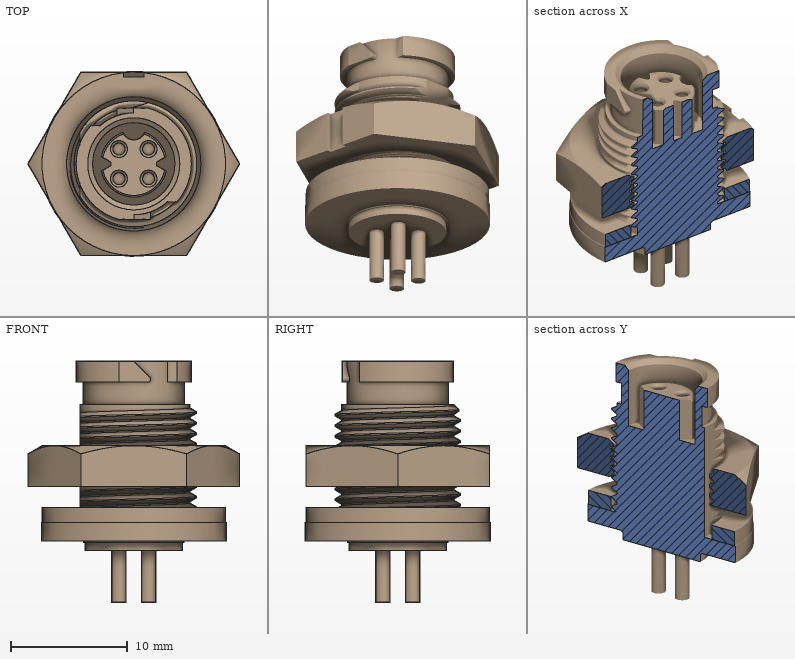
import cadquery as cq
import math


OVERLAP = 0.05

pin_tip_z = -6.86
base_bottom_z = -2.42
flange_thickness = 1.6
gasket_thickness = 1.3
nut_bottom_z = 3.07
nut_height = 3.52
shoulder_z = 10.14
collar_height = 1.8
top_z = 13.84
collar_bottom_z = top_z - collar_height

flange_radius = 7.94
base_radius = 4.19
base_step_radius = 4.32
base_step_height = 0.1

thread_pitch = 25.4 / 28
thread_major_radius = 5.4
thread_minor_radius = 4.82
thread_flank_slope = math.tan(math.radians(30))
thread_crest_width = thread_pitch / 8
thread_full_turns = 10
thread_end_angle = 90
thread_top_crest_z = 9.44
thread_start_z = thread_top_crest_z - thread_full_turns * thread_pitch
shell_flat_x = -4.63
thread_rise = (thread_full_turns + thread_end_angle / 360) * thread_pitch
runout_root_x = -0.17
runout_crest_x = 1.157
runout_crest_y = 5.2

neck_radius = 4.37
collar_radius = 4.94
collar_flat_y = 4.77
slot_edge_y = 3.27
ramp_toe_radius = 0.25

bore_radius = 3.53
bore_chamfer = 0.42
bore_depth = 5.5
insert_radius = 2.85
insert_chamfer = 0.14
insert_top_z = top_z - 1.8
insert_height = bore_depth - (top_z - insert_top_z)
key_radius = 1.0
key_center_y = 3.06
side_notch_apex_x = 1.7
side_notch_half_angle = math.radians(30)
side_notch_tip_radius = 0.23

contact_pitch = 2.54
pin_radius = 0.625
contact_hole_radius = 0.515
contact_hole_depth = 0.55
contact_countersink_radius = 0.725
contact_countersink_depth = 0.28

nut_across_flats = 15.745
nut_chamfer_slope = math.tan(math.radians(30))
nut_bore_radius = 5.11
nut_groove_radius = 5.53
nut_countersink_radius = 5.76
nut_mark_width = 1.77
nut_mark_depth = 0.42
gasket_radius = nut_across_flats / 2


def cylinder(radius, bottom_z, top):
    return cq.Workplane("XY").workplane(offset=bottom_z).circle(radius).extrude(top - bottom_z)


def cone(bottom_radius, top_radius, bottom_z, height):
    axis = cq.Vector(0, 0, 1)
    return cq.Workplane(cq.Solid.makeCone(bottom_radius, top_radius, height, cq.Vector(0, 0, bottom_z), axis))


def make_thread_ridge(inner_radius, outer_radius):
    """Right-handed helical ridge with sloping flanks, starting on the +X side."""
    crest_half = thread_crest_width / 2
    base_half = crest_half + (outer_radius - inner_radius) * thread_flank_slope
    helix = cq.Wire.makeHelix(thread_pitch, thread_rise, outer_radius, cq.Vector(0, 0, thread_start_z))
    return (
        cq.Workplane("XZ")
        .moveTo(inner_radius, thread_start_z - base_half)
        .lineTo(outer_radius, thread_start_z - crest_half)
        .lineTo(outer_radius, thread_start_z + crest_half)
        .lineTo(inner_radius, thread_start_z + base_half)
        .close()
        .sweep(cq.Workplane(helix), isFrenet=True)
    )


def make_runout():
    """Block that cuts the upper end of the shell thread down to the root along a vertical face."""
    outside_y = thread_major_radius + 1
    return (
        cq.Workplane("XY")
        .workplane(offset=thread_start_z + thread_rise - thread_pitch / 2)
        .moveTo(runout_root_x, thread_minor_radius)
        .lineTo(runout_crest_x, runout_crest_y)
        .lineTo(runout_crest_x, outside_y)
        .lineTo(runout_root_x, outside_y)
        .close()
        .extrude(thread_pitch)
    )


def make_threaded_barrel():
    """Threaded cylinder with one lengthwise flat on the -X side."""
    ridge = make_thread_ridge(thread_minor_radius - OVERLAP, thread_major_radius).cut(make_runout())
    barrel = cylinder(thread_minor_radius, 0, shoulder_z).union(ridge)
    barrel_size = 2 * thread_major_radius
    flat = (
        cq.Workplane("XY")
        .box(barrel_size, 2 * barrel_size, shoulder_z + OVERLAP, centered=(True, True, False))
        .translate((shell_flat_x - barrel_size / 2, 0, 0))
    )
    return barrel.cut(flat)


def make_bayonet_slot():
    """Gap in the -Y side of the collar: a 45 degree ramp on the left, an edge along X on the right."""
    toe_tangent = ramp_toe_radius / math.tan(math.radians(22.5))
    toe_center_x = collar_height - toe_tangent
    toe_center_z = collar_bottom_z + ramp_toe_radius
    diagonal = math.sqrt(0.5)
    toe_middle_angle = math.radians(-22.5)
    opening = (
        cq.Workplane("XZ", origin=(0, -slot_edge_y, 0))
        .moveTo(0, top_z)
        .lineTo(toe_center_x + ramp_toe_radius * diagonal, toe_center_z + ramp_toe_radius * diagonal)
        .threePointArc(
            (
                toe_center_x + ramp_toe_radius * math.cos(toe_middle_angle),
                toe_center_z + ramp_toe_radius * math.sin(toe_middle_angle),
            ),
            (toe_center_x, collar_bottom_z),
        )
        .lineTo(collar_radius, collar_bottom_z)
        .lineTo(collar_radius, top_z)
        .close()
        .extrude(collar_radius - slot_edge_y)
    )
    return opening.cut(cylinder(neck_radius, collar_bottom_z, top_z))


def make_bayonet_collar():
    flats = cq.Workplane("XY").box(2 * collar_radius, 2 * collar_flat_y, 4 * top_z)
    collar = cylinder(collar_radius, collar_bottom_z, top_z).intersect(flats)
    slot = make_bayonet_slot()
    for turn in (0, 180):
        collar = collar.cut(slot.rotate((0, 0, 0), (0, 0, 1), turn))
    return collar


def make_socket():
    """Round mating bore with a chamfered mouth."""
    bore = cylinder(bore_radius, top_z - bore_depth, top_z)
    mouth = cone(bore_radius, bore_radius + bore_chamfer, top_z - bore_chamfer, bore_chamfer)
    return bore.union(mouth)


def make_side_notch():
    """V notch with a rounded tip, open toward +X."""
    reach = insert_radius + 1
    half_width = (reach - side_notch_apex_x) * math.tan(side_notch_half_angle)
    return (
        cq.Workplane("XY")
        .workplane(offset=insert_top_z - insert_height)
        .moveTo(side_notch_apex_x, 0)
        .lineTo(reach, -half_width)
        .lineTo(reach, half_width)
        .close()
        .extrude(insert_height)
        .edges("|Z and <X")
        .fillet(side_notch_tip_radius)
    )


def contact_positions():
    half = contact_pitch / 2
    return [(x, y) for x in (-half, half) for y in (-half, half)]


def make_contact_hole():
    hole = cylinder(contact_hole_radius, insert_top_z - contact_hole_depth, insert_top_z)
    countersink = cone(
        contact_hole_radius,
        contact_countersink_radius,
        insert_top_z - contact_countersink_depth,
        contact_countersink_depth,
    )
    return hole.union(countersink)


def make_insert():
    """Contact insert with a round key notch, two side notches and four contact holes."""
    floor_z = insert_top_z - insert_height
    insert = cylinder(insert_radius, floor_z - OVERLAP, insert_top_z).faces(">Z").chamfer(insert_chamfer)
    insert = insert.cut(cylinder(key_radius, floor_z, insert_top_z).translate((0, key_center_y, 0)))
    notch = make_side_notch()
    for turn in (0, 180):
        insert = insert.cut(notch.rotate((0, 0, 0), (0, 0, 1), turn))
    hole = make_contact_hole()
    for x, y in contact_positions():
        insert = insert.cut(hole.translate((x, y, 0)))
    return insert


def make_connector():
    flange = cylinder(flange_radius, -flange_thickness, 0)
    base_step = cylinder(base_step_radius, -flange_thickness - base_step_height, -flange_thickness)
    base = cylinder(base_radius, base_bottom_z, -flange_thickness)
    neck = cylinder(neck_radius, shoulder_z, top_z)
    body = flange.union(base_step).union(base).union(make_threaded_barrel())
    body = body.union(neck).union(make_bayonet_collar())
    body = body.cut(make_socket()).union(make_insert())
    for x, y in contact_positions():
        body = body.union(cylinder(pin_radius, pin_tip_z, base_bottom_z).translate((x, y, 0)))
    return body


def make_gasket():
    return cylinder(gasket_radius, 0, gasket_thickness).cut(
        cylinder(thread_major_radius, 0, gasket_thickness)
    )


def make_nut():
    """Hexagon nut with chamfered top corners, a countersunk threaded bore and a mark on the +Y flat."""
    nut_top_z = nut_bottom_z + nut_height
    flat_radius = nut_across_flats / 2
    corner_diameter = nut_across_flats / math.cos(math.radians(30))
    nut = cq.Workplane("XY").workplane(offset=nut_bottom_z).polygon(6, corner_diameter).extrude(nut_height)
    cone_drop = nut_height
    corner_cone = cone(
        flat_radius + cone_drop / nut_chamfer_slope, flat_radius, nut_top_z - cone_drop, cone_drop
    )
    nut = nut.intersect(corner_cone)
    nut = nut.cut(make_thread_ridge(nut_bore_radius - OVERLAP, nut_groove_radius))
    nut = nut.cut(cylinder(nut_bore_radius, nut_bottom_z, nut_top_z))
    countersink_depth = (nut_countersink_radius - nut_bore_radius) * nut_chamfer_slope
    nut = nut.cut(
        cone(nut_bore_radius, nut_countersink_radius, nut_top_z - countersink_depth, countersink_depth)
    )
    mark = (
        cq.Workplane("XY")
        .box(nut_mark_width, 2 * nut_mark_depth, nut_height, centered=(True, True, False))
        .translate((0, flat_radius, nut_bottom_z))
    )
    return nut.cut(mark)


connector = make_connector()
gasket = make_gasket()
nut = make_nut()

result = cq.Compound.makeCompound([connector.val(), gasket.val(), nut.val()])